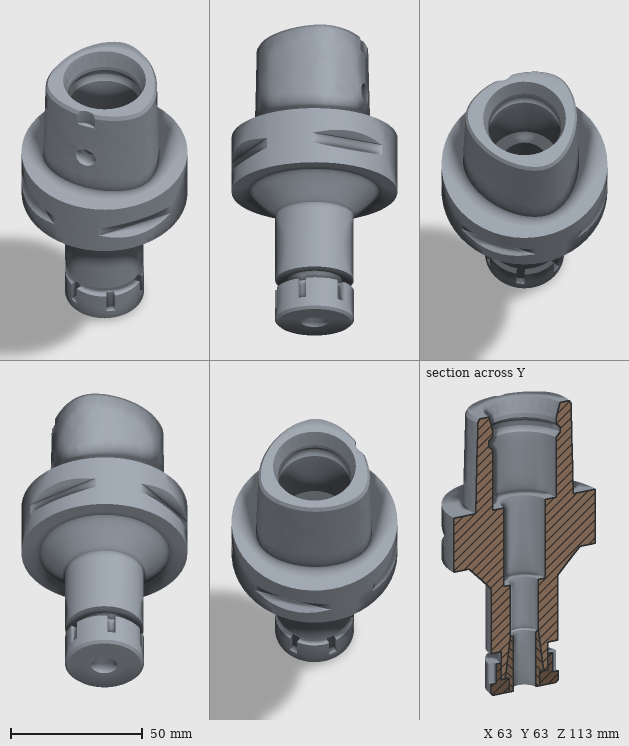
import cadquery as cq
import math


TOTAL_HEIGHT = 113.0
SHANK_LENGTH = 38.0
FLANGE_TOP = TOTAL_HEIGHT - SHANK_LENGTH
FLANGE_HEIGHT = 22.0
FLANGE_BOTTOM = FLANGE_TOP - FLANGE_HEIGHT
BARREL_BOTTOM = 17.0
NECK_BOTTOM = 5.6

FLANGE_RADIUS = 31.5
CONE_RADIUS = 24.6
BARREL_RADIUS = 14.9
NECK_RADIUS = 10.5
CONE_BOTTOM = FLANGE_BOTTOM - (CONE_RADIUS - BARREL_RADIUS)

SHANK_BASE_WIDTH = 44.2
SHANK_TAPER = 1 / 20
LOBE_OFFSET = 1.4
OUTLINE_POINTS = 48
SHANK_CHAMFER_HEIGHT = 1.5
SHANK_CHAMFER_INSET = 0.9

MOUTH_RADIUS = 15.7
BORE_RADIUS = 13.9
MOUTH_DEPTH = 6.4
GROOVE_DEPTH = 8.1
GROOVE_END_DEPTH = 13.9
GROOVE_RADIUS = 15.8
GROOVE_FLANK = GROOVE_RADIUS - BORE_RADIUS
BORE_FLOOR = FLANGE_TOP
MIDDLE_HOLE_RADIUS = 9.2
MIDDLE_HOLE_FLOOR = CONE_BOTTOM

KEYWAY_RADIUS = 4.7
KEYWAY_BOTTOM_Y = -18.1
KEYWAY_LENGTH = 6.2
SIDE_HOLE_RADIUS = 4.1
SIDE_HOLE_DEPTH_FROM_TOP = 22.5
SIDE_HOLE_FLOOR_Y = -14.2

GRIP_COUNT = 4
GRIP_FLOOR_DISTANCE = 27.7
GRIP_FLOOR_WIDTH = 4.2
GRIP_WALL_DEPTH = 0.7
GRIP_FLANK_ANGLE = 30.0
GRIP_BELOW_FLANGE_TOP = 12.0
GRIP_LEVEL = FLANGE_TOP - GRIP_BELOW_FLANGE_TOP

COLLET_BORE_RADIUS = 5.0
COLLET_BORE_CHAMFER = 0.3
COLLET_TIP_RADIUS = 6.1
COLLET_LARGE_RADIUS = 8.5
COLLET_NOSE_RADIUS = 6.8
COLLET_HALF_ANGLE = 8.0
COLLET_TAPER_LENGTH = (COLLET_LARGE_RADIUS - COLLET_TIP_RADIUS) / math.tan(math.radians(COLLET_HALF_ANGLE))
COLLET_TIP = NECK_BOTTOM + COLLET_TAPER_LENGTH

NUT_HEIGHT = 12.5
NUT_RADIUS = 15.0
NUT_CHAMFER = 1.0
NUT_SLOT_COUNT = 6
NUT_SLOT_WIDTH = 3.2
NUT_SLOT_DEPTH = 2.4
NUT_SLOT_HEIGHT = 7.8

PROFILE_PLANE = cq.Plane(origin=(0, 0, 0), xDir=(0, -1, 0), normal=(-1, 0, 0))


def turned(points):
    """Revolve a closed (radius, z) outline about the Z axis."""
    return cq.Workplane(PROFILE_PLANE).polyline(points).close().revolve(360, (0, 0), (0, 1))


def shank_outline_point(width, angle):
    """Point of a constant-width, three-lobed outline with one lobe pointing to +Y."""
    lobe_phase = 3 * (angle + math.pi / 2)
    reach = width / 2 - LOBE_OFFSET * math.cos(lobe_phase)
    slope = 3 * LOBE_OFFSET * math.sin(lobe_phase)
    x = reach * math.cos(angle) - slope * math.sin(angle)
    y = reach * math.sin(angle) + slope * math.cos(angle)
    return x, y


def shank_outline(width, level):
    angles = [2 * math.pi * i / OUTLINE_POINTS - math.pi / 2 for i in range(OUTLINE_POINTS)]
    points = [cq.Vector(*shank_outline_point(width, angle), level) for angle in angles]
    return cq.Wire.assembleEdges([cq.Edge.makeSpline(points, periodic=True)])


def make_shank():
    """Tapered shank with a chamfer around its top face."""
    chamfer_level = TOTAL_HEIGHT - SHANK_CHAMFER_HEIGHT
    upper_width = SHANK_BASE_WIDTH - SHANK_TAPER * (chamfer_level - FLANGE_TOP)
    base = shank_outline(SHANK_BASE_WIDTH, FLANGE_TOP)
    upper = shank_outline(upper_width, chamfer_level)
    top = shank_outline(upper_width - 2 * SHANK_CHAMFER_INSET, TOTAL_HEIGHT)
    taper = cq.Workplane(cq.Solid.makeLoft([base, upper], True))
    chamfer = cq.Solid.makeLoft([upper, top], True)
    return taper.union(cq.Workplane(chamfer))


def make_holder_blank():
    return turned([
        (0, FLANGE_TOP),
        (FLANGE_RADIUS, FLANGE_TOP),
        (FLANGE_RADIUS, FLANGE_BOTTOM),
        (CONE_RADIUS, FLANGE_BOTTOM),
        (BARREL_RADIUS, CONE_BOTTOM),
        (BARREL_RADIUS, BARREL_BOTTOM),
        (NECK_RADIUS, BARREL_BOTTOM),
        (NECK_RADIUS, NECK_BOTTOM),
        (0, NECK_BOTTOM),
    ])


def make_holder_bore():
    """Stepped cavity from the shank mouth down to the conical collet seat."""
    return turned([
        (0, TOTAL_HEIGHT),
        (MOUTH_RADIUS, TOTAL_HEIGHT),
        (BORE_RADIUS, TOTAL_HEIGHT - MOUTH_DEPTH),
        (BORE_RADIUS, TOTAL_HEIGHT - GROOVE_DEPTH),
        (GROOVE_RADIUS, TOTAL_HEIGHT - GROOVE_DEPTH - GROOVE_FLANK),
        (GROOVE_RADIUS, TOTAL_HEIGHT - GROOVE_END_DEPTH + GROOVE_FLANK),
        (BORE_RADIUS, TOTAL_HEIGHT - GROOVE_END_DEPTH),
        (BORE_RADIUS, BORE_FLOOR),
        (MIDDLE_HOLE_RADIUS, BORE_FLOOR),
        (MIDDLE_HOLE_RADIUS, MIDDLE_HOLE_FLOOR),
        (COLLET_TIP_RADIUS, MIDDLE_HOLE_FLOOR),
        (COLLET_TIP_RADIUS, COLLET_TIP),
        (COLLET_LARGE_RADIUS, NECK_BOTTOM),
        (0, NECK_BOTTOM),
    ])


def make_keyway():
    """Round-backed notch running down from the top of the shank."""
    return (
        cq.Workplane("XY", origin=(0, KEYWAY_BOTTOM_Y - KEYWAY_RADIUS, TOTAL_HEIGHT))
        .circle(KEYWAY_RADIUS)
        .extrude(-KEYWAY_LENGTH)
    )


def make_side_hole():
    hole_level = TOTAL_HEIGHT - SIDE_HOLE_DEPTH_FROM_TOP
    return (
        cq.Workplane("XZ", origin=(0, SIDE_HOLE_FLOOR_Y, hole_level))
        .circle(SIDE_HOLE_RADIUS)
        .extrude(SHANK_BASE_WIDTH / 2)
    )


def make_grip_grooves():
    """Straight grooves on the diagonals of the flange: short square walls, then sloping flanks."""
    flank_start = GRIP_FLOOR_DISTANCE + GRIP_WALL_DEPTH
    flank_rise = (FLANGE_RADIUS - flank_start) * math.tan(math.radians(GRIP_FLANK_ANGLE))
    floor_half = GRIP_FLOOR_WIDTH / 2
    mouth_half = floor_half + flank_rise
    groove = (
        cq.Workplane("XZ", origin=(0, 0, GRIP_LEVEL))
        .polyline([
            (GRIP_FLOOR_DISTANCE, -floor_half),
            (flank_start, -floor_half),
            (FLANGE_RADIUS, -mouth_half),
            (FLANGE_RADIUS, mouth_half),
            (flank_start, floor_half),
            (GRIP_FLOOR_DISTANCE, floor_half),
        ])
        .close()
        .extrude(FLANGE_RADIUS, both=True)
    )
    step = 360 / GRIP_COUNT
    return [groove.rotate((0, 0, 0), (0, 0, 1), (i + 0.5) * step) for i in range(GRIP_COUNT)]


def make_holder():
    body = make_holder_blank().union(make_shank())
    body = body.cut(make_holder_bore()).cut(make_keyway()).cut(make_side_hole())
    for groove in make_grip_grooves():
        body = body.cut(groove)
    return body


def make_collet():
    """Tapered sleeve seated in the holder, with a straight nose through the nut."""
    return turned([
        (COLLET_BORE_RADIUS, 0),
        (COLLET_NOSE_RADIUS, 0),
        (COLLET_NOSE_RADIUS, NECK_BOTTOM),
        (COLLET_LARGE_RADIUS, NECK_BOTTOM),
        (COLLET_TIP_RADIUS, COLLET_TIP),
        (COLLET_BORE_RADIUS + COLLET_BORE_CHAMFER, COLLET_TIP),
        (COLLET_BORE_RADIUS, COLLET_TIP - COLLET_BORE_CHAMFER),
    ])


def make_nut():
    """Ring around the neck and the collet nose, with wrench slots open at its top."""
    nut = turned([
        (COLLET_NOSE_RADIUS, 0),
        (NUT_RADIUS - NUT_CHAMFER, 0),
        (NUT_RADIUS, NUT_CHAMFER),
        (NUT_RADIUS, NUT_HEIGHT),
        (NECK_RADIUS, NUT_HEIGHT),
        (NECK_RADIUS, NECK_BOTTOM),
        (COLLET_NOSE_RADIUS, NECK_BOTTOM),
    ])
    slot_origin = (NUT_RADIUS - NUT_SLOT_DEPTH, 0, NUT_HEIGHT - NUT_SLOT_HEIGHT)
    slot = cq.Workplane("XY", origin=slot_origin).box(
        NUT_RADIUS, NUT_SLOT_WIDTH, NUT_SLOT_HEIGHT, centered=(False, True, False)
    )
    for i in range(NUT_SLOT_COUNT):
        nut = nut.cut(slot.rotate((0, 0, 0), (0, 0, 1), i * 360 / NUT_SLOT_COUNT))
    return nut


holder = make_holder()
collet = make_collet()
nut = make_nut()

result = cq.Compound.makeCompound([holder.solids().val(), collet.solids().val(), nut.solids().val()])